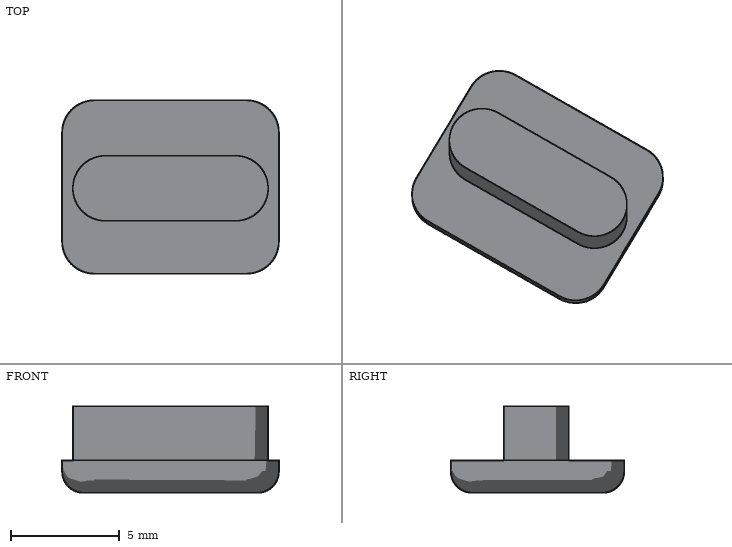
import cadquery as cq

plate_length = 10
plate_width = 8
plate_thickness = 1.5
corner_radius = 1.5
bottom_edge_radius = 1

boss_length = 9
boss_width = 3
boss_height = 2.5
boss_offset_y = -0.06


def make_plate():
    """Plate with its top face at Z = 0, rounded corners and a rounded lower edge."""
    return (
        cq.Workplane("XY")
        .rect(plate_length, plate_width)
        .extrude(-plate_thickness)
        .edges("|Z")
        .fillet(corner_radius)
        .faces("<Z")
        .edges()
        .fillet(bottom_edge_radius)
    )


def make_boss():
    """Straight-sided boss with full-round ends, standing on the plate."""
    return (
        cq.Workplane("XY")
        .center(0, boss_offset_y)
        .slot2D(boss_length, boss_width)
        .extrude(boss_height)
    )


result = make_plate().union(make_boss())